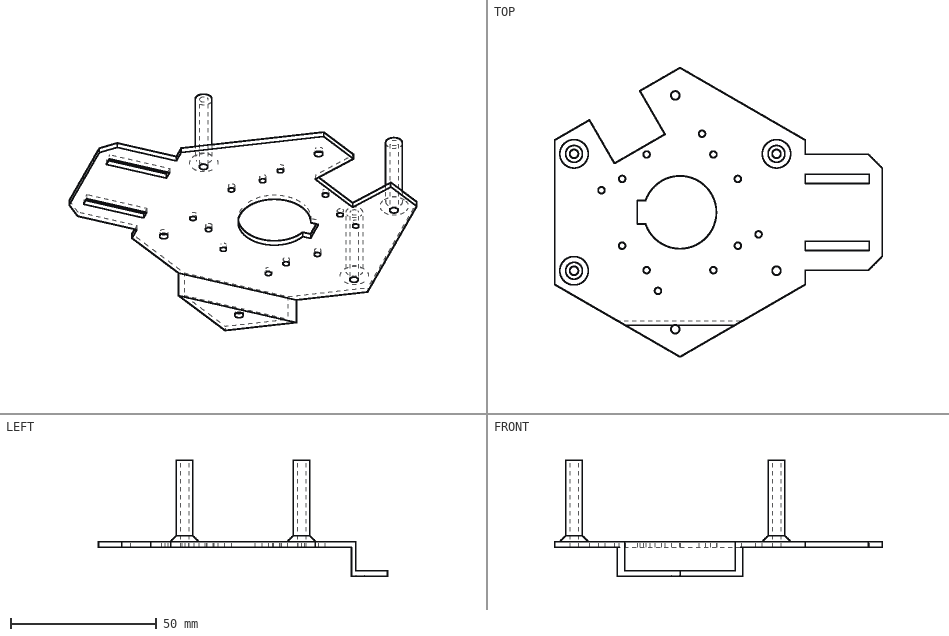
import cadquery as cq
import math

SHEET = 2.0
OVERALL_WIDTH = 99.63
HEX_CORNER_RADIUS = OVERALL_WIDTH / 2
HEX_APOTHEM = HEX_CORNER_RADIUS * math.cos(math.radians(30))

DROP = 10.0
WALL_OUTER_Y = -38.83
WALL_THICKNESS = 1.5
WALL_INNER_Y = WALL_OUTER_Y + WALL_THICKNESS

OVERALL_LENGTH = 112.79
TONGUE_END_X = OVERALL_LENGTH - HEX_APOTHEM
TONGUE_WIDTH = 40.0
TONGUE_CHAMFER = 4.8
SLOT_LENGTH = 22.0
SLOT_WIDTH = 3.1
SLOT_OFFSET_Y = 11.55

NOTCH_WIDTH = 20.0
NOTCH_FLOOR = 25.9
NOTCH_SHIFT = 1.1
NOTCH_DIRECTION = 120.0

BORE_DIAMETER = 25.0
KEYWAY_REACH = 14.7
KEYWAY_WIDTH = 8.0

SCREW_DIAMETER = 2.2
INNER_CIRCLE_RADIUS = 23.0
INNER_CIRCLE_ANGLES = [30, 60, 120, 150, 210, 240, 300, 330]
OUTER_CIRCLE_RADIUS = 28.1
OUTER_CIRCLE_START = 74.3
OUTER_CIRCLE_COUNT = 4

MOUNT_DIAMETER = 2.9
MOUNT_CENTRE_X = -1.63
MOUNT_RADIUS = 40.25
MOUNT_ANGLES = [30, 90, 150, 210, 270, 330]
POST_ANGLES = [30, 150, 210]
POST_DIAMETER = 5.8
POST_HEIGHT = 28.0
POST_FLARE = 2.0


def polar(radius, angle, centre_x=0.0):
    """Point at an angle in degrees on a circle centred on the X axis."""
    turn = math.radians(angle)
    return (centre_x + radius * math.cos(turn), radius * math.sin(turn))


def box(x_min, x_max, y_min, y_max, z_min, z_max):
    """Box between two opposite corners."""
    size = (x_max - x_min, y_max - y_min, z_max - z_min)
    return cq.Workplane("XY").box(*size, centered=False).translate((x_min, y_min, z_min))


def stepped_hexagon():
    """Hexagonal prism reduced to the plate, the upright wall and the lowered tab."""
    corners = [polar(HEX_CORNER_RADIUS, 30 + 60 * i) for i in range(6)]
    prism = cq.Workplane("XY").workplane(offset=-DROP).polyline(corners).close().extrude(DROP + SHEET)
    reach = HEX_CORNER_RADIUS
    below_plate = box(-reach, reach, WALL_INNER_Y, reach, -DROP, 0)
    above_tab = box(-reach, reach, -reach, WALL_OUTER_Y, SHEET - DROP, SHEET)
    return prism.cut(below_plate).cut(above_tab)


def tongue():
    """Tongue with chamfered outer corners, reaching into the plate so the two join."""
    half = TONGUE_WIDTH / 2
    blank = box(0, TONGUE_END_X, -half, half, 0, SHEET)
    return blank.edges("|Z and >X").chamfer(TONGUE_CHAMFER)


def slots():
    """Two slots along X, starting at the hexagon side."""
    upper = box(
        HEX_APOTHEM,
        HEX_APOTHEM + SLOT_LENGTH,
        SLOT_OFFSET_Y - SLOT_WIDTH / 2,
        SLOT_OFFSET_Y + SLOT_WIDTH / 2,
        0,
        SHEET,
    )
    return upper.union(upper.mirror("XZ"))


def notch():
    """Notch cutter, built along +X and turned to face the hexagon side."""
    low = NOTCH_SHIFT - NOTCH_WIDTH / 2
    cutter = box(NOTCH_FLOOR, HEX_CORNER_RADIUS, low, low + NOTCH_WIDTH, 0, SHEET)
    return cutter.rotate((0, 0, 0), (0, 0, 1), NOTCH_DIRECTION)


def bore():
    """Central bore joined with its keyway."""
    round_bore = cq.Workplane("XY").circle(BORE_DIAMETER / 2).extrude(SHEET)
    half = KEYWAY_WIDTH / 2
    return round_bore.union(box(-KEYWAY_REACH, 0, -half, half, 0, SHEET))


def screw_holes():
    """Cutters for both circles of small screw holes."""
    step = 360 / OUTER_CIRCLE_COUNT
    points = [polar(INNER_CIRCLE_RADIUS, angle) for angle in INNER_CIRCLE_ANGLES]
    for i in range(OUTER_CIRCLE_COUNT):
        points.append(polar(OUTER_CIRCLE_RADIUS, OUTER_CIRCLE_START + i * step))
    return cq.Workplane("XY").pushPoints(points).circle(SCREW_DIAMETER / 2).extrude(SHEET)


def mount_holes():
    """Cutters through the full height; the one at -Y also grazes the upright wall."""
    points = [polar(MOUNT_RADIUS, angle, MOUNT_CENTRE_X) for angle in MOUNT_ANGLES]
    base = cq.Workplane("XY").workplane(offset=-DROP).pushPoints(points)
    return base.circle(MOUNT_DIAMETER / 2).extrude(DROP + SHEET + POST_HEIGHT)


def post():
    """Solid post with a 45 degree flared foot, standing on the plate's top face."""
    radius = POST_DIAMETER / 2
    profile = [
        (0, 0),
        (radius + POST_FLARE, 0),
        (radius, POST_FLARE),
        (radius, POST_HEIGHT),
        (0, POST_HEIGHT),
    ]
    turned = cq.Workplane("XZ").polyline(profile).close().revolve(360, (0, 0, 0), (0, 1, 0))
    return turned.translate((0, 0, SHEET))


body = stepped_hexagon().union(tongue())
for post_angle in POST_ANGLES:
    body = body.union(post().translate(polar(MOUNT_RADIUS, post_angle, MOUNT_CENTRE_X)))
for cutter in (slots(), notch(), bore(), screw_holes(), mount_holes()):
    body = body.cut(cutter)

result = body